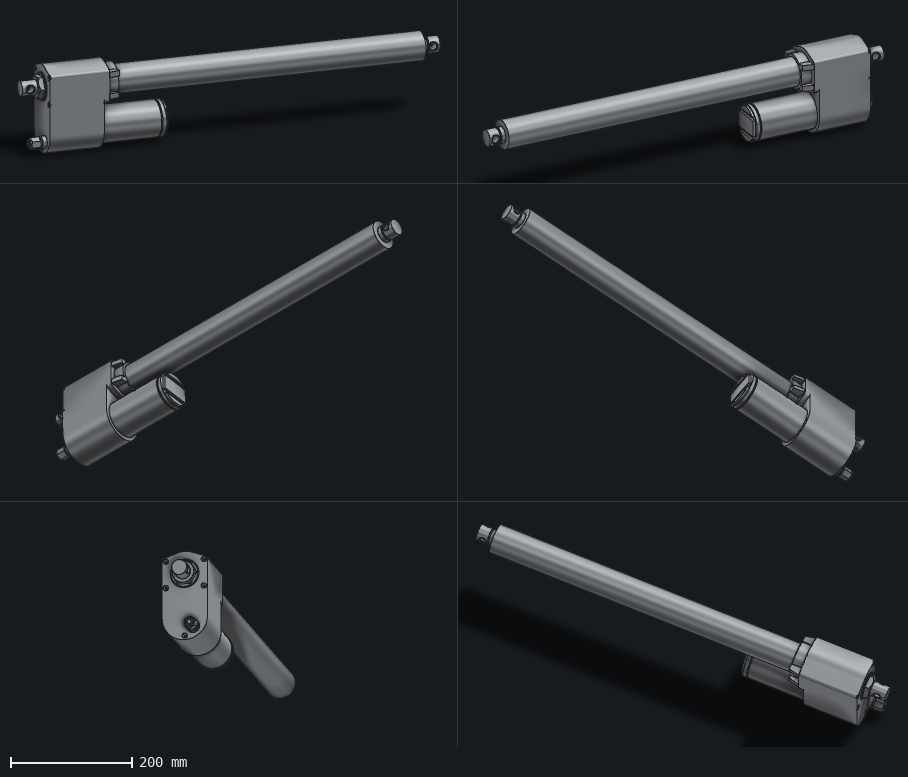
import cadquery as cq
import math


TOTAL_LENGTH = 733.5
REAR_PIN_LENGTH = 39.0
ROD_TIP_Y = TOTAL_LENGTH - REAR_PIN_LENGTH

HOUSING_WIDTH = 77.0
HALF_WIDTH = HOUSING_WIDTH / 2
HOUSING_HEIGHT = 152.0
TOP_RADIUS = 38.0
CROWN_HALF_WIDTH = 12.5
SHOULDER_RADIUS = 6.0
MOTOR_Z = TOP_RADIUS + HALF_WIDTH - HOUSING_HEIGHT
HOUSING_DEPTH = 95.0
HEAD_DEPTH = 105.0

SCREW_X = 32.0
SCREW_Z = 23.0
LOW_SCREW_Z = -106.0
SCREW_DIAMETER = 9.0
SCREW_RECESS = 2.0
SOCKET_DIAMETER = 3.0
SOCKET_DEPTH = 3.0

COLLAR_DIAMETER = 60.0
COLLAR_FRONT_Y = 124.0
GUSSET_INNER_Z = 14.0
GUSSET_OUTER_Z = 23.5
GUSSET_INNER_X = 22.0
GUSSET_FRONT_HALF_WIDTH = 32.0
GUSSET_REAR_HALF_WIDTH = 37.0
TUBE_DIAMETER = 50.5
TUBE_END_Y = 665.0

MOTOR_DIAMETER = 64.0
MOTOR_END_Y = 212.0
MOTOR_BOSS_DIAMETER = 60.0
MOTOR_BOSS_LENGTH = 4.5
MOTOR_BOSS_WIDTH = 50.5
MOTOR_GROOVE_DEPTH = 1.0
MOTOR_GROOVE_WIDTH = 2.0
MOTOR_GROOVE_FROM_END = 11.0
MOTOR_SLOT_OFFSET = 17.5
MOTOR_SLOT_WIDTH = 6.5

FLANGE_DIAMETER = 48.5
FLANGE_THICKNESS = 2.0
FLANGE_CHAMFER = 1.5
NUT_ACROSS_FLATS = 37.0
NUT_REAR_Y = -12.0
NUT_CHAMFER = 3.0
PIN_DIAMETER = 26.0
CROSS_HOLE_DIAMETER = 13.0
CROSS_HOLE_MOUTH_DIAMETER = 15.5
CROSS_HOLE_MOUTH_DEPTH = 4.0
PIN_HOLE_FROM_END = 15.0

CONNECTOR_X = 15.0
CONNECTOR_Z = -92.0
CONNECTOR_DIAMETER = 21.0
CONNECTOR_LENGTH = 28.5
CONNECTOR_CHAMFER = 4.0
CONNECTOR_NECK_DIAMETER = 15.5
CONNECTOR_BASE_LENGTH = 7.0
CONNECTOR_CAP_START = 10.0
CONNECTOR_SOCKET_DIAMETER = 13.0
CONNECTOR_SOCKET_DEPTH = 7.0
CONNECTOR_POST_DIAMETER = 7.0

ROD_DIAMETER = 28.0
ROD_EYE_DIAMETER = 28.5
ROD_EYE_LENGTH = 20.0
ROD_GROOVE_DIAMETER = 26.5
ROD_GROOVE_WIDTH = 2.0
ROD_HOLE_FROM_END = 12.0


def section(y):
    """Workplane at the given Y: local x is X, local y is Z, extrusion runs toward -Y."""
    return cq.Workplane("XZ", origin=(0, y, 0))


def cylinder(diameter, rear_y, front_y, x=0, z=0):
    return section(front_y).center(x, z).circle(diameter / 2).extrude(front_y - rear_y)


def cross_hole(y, bar_diameter):
    """Cutter along X through a round bar on the drive axis, a little wider at both mouths."""
    center = cq.Workplane("YZ").center(y, 0)
    hole = center.circle(CROSS_HOLE_DIAMETER / 2).extrude(HALF_WIDTH, both=True)
    mouths = center.circle(CROSS_HOLE_MOUTH_DIAMETER / 2).extrude(HALF_WIDTH, both=True)
    floor_x = bar_diameter / 2 - CROSS_HOLE_MOUTH_DEPTH
    core = center.circle(CROSS_HOLE_MOUTH_DIAMETER).extrude(floor_x, both=True)
    return hole.union(mouths.cut(core))


def crown_half(depth):
    """Block above the drive axis: straight sides, rounded shoulders, flat slopes and a crown."""
    slope = math.asin(CROWN_HALF_WIDTH / TOP_RADIUS)
    crown_z = TOP_RADIUS * math.cos(slope)
    shoulder_z = crown_z - (HALF_WIDTH - CROWN_HALF_WIDTH) * math.tan(slope)
    block = (
        section(depth)
        .moveTo(HALF_WIDTH, 0)
        .lineTo(HALF_WIDTH, shoulder_z)
        .lineTo(CROWN_HALF_WIDTH, crown_z)
        .threePointArc((0, TOP_RADIUS), (-CROWN_HALF_WIDTH, crown_z))
        .lineTo(-HALF_WIDTH, shoulder_z)
        .lineTo(-HALF_WIDTH, 0)
        .close()
        .extrude(depth)
    )
    return block.edges("|Y and (>X or <X) and (not <Z)").fillet(SHOULDER_RADIUS)


def lower_block(depth):
    """Block below the drive axis with a half-round bottom centred on the motor axis."""
    return (
        section(depth)
        .moveTo(HALF_WIDTH, 0)
        .lineTo(HALF_WIDTH, MOTOR_Z)
        .threePointArc((0, MOTOR_Z - HALF_WIDTH), (-HALF_WIDTH, MOTOR_Z))
        .lineTo(-HALF_WIDTH, 0)
        .close()
        .extrude(depth)
    )


def make_housing():
    """Gear housing; its deeper head is the same crowned shape above and below the drive axis."""
    head_top = crown_half(HEAD_DEPTH)
    head_bottom = head_top.mirror("XY")
    housing = lower_block(HOUSING_DEPTH).union(head_top).union(head_bottom)
    recess_places = [(sx * SCREW_X, sz * SCREW_Z) for sx in (-1, 1) for sz in (-1, 1)]
    recess_places.append((0, LOW_SCREW_Z))
    for x, z in recess_places:
        recess = cylinder(SCREW_DIAMETER, 0, SCREW_RECESS, x, z)
        socket = cylinder(SOCKET_DIAMETER, 0, SCREW_RECESS + SOCKET_DEPTH, x, z)
        housing = housing.cut(recess).cut(socket)
    return housing


def make_collar():
    """Round collar with four tapering corner gussets, two above and two below the side gaps."""
    ring = cylinder(COLLAR_DIAMETER, HEAD_DEPTH, COLLAR_FRONT_Y)
    gussets = (
        cq.Workplane("XY")
        .polyline([
            (-GUSSET_REAR_HALF_WIDTH, HEAD_DEPTH),
            (GUSSET_REAR_HALF_WIDTH, HEAD_DEPTH),
            (GUSSET_FRONT_HALF_WIDTH, COLLAR_FRONT_Y),
            (-GUSSET_FRONT_HALF_WIDTH, COLLAR_FRONT_Y),
        ])
        .close()
        .extrude(GUSSET_OUTER_Z, both=True)
    )
    side_gap = cq.Workplane("XY").box(2 * HOUSING_WIDTH, 2 * COLLAR_FRONT_Y, 2 * GUSSET_INNER_Z)
    middle_gap = cq.Workplane("XY").box(2 * GUSSET_INNER_X, 2 * COLLAR_FRONT_Y, HOUSING_WIDTH)
    return ring.union(gussets.cut(side_gap).cut(middle_gap))


def make_motor():
    """Motor can with a shallow groove and, on its end, a trimmed boss crossed by two slots."""
    can_end_y = MOTOR_END_Y - MOTOR_BOSS_LENGTH
    can = cylinder(MOTOR_DIAMETER, HOUSING_DEPTH, can_end_y, z=MOTOR_Z)
    boss = cylinder(MOTOR_BOSS_DIAMETER, can_end_y, MOTOR_END_Y, z=MOTOR_Z)
    boss_trim = (
        section(MOTOR_END_Y)
        .center(0, MOTOR_Z)
        .rect(MOTOR_BOSS_WIDTH, MOTOR_DIAMETER)
        .extrude(MOTOR_BOSS_LENGTH)
    )
    motor = can.union(boss.intersect(boss_trim))
    groove_front_y = MOTOR_END_Y - MOTOR_GROOVE_FROM_END
    groove = (
        section(groove_front_y)
        .center(0, MOTOR_Z)
        .circle(MOTOR_DIAMETER)
        .circle(MOTOR_DIAMETER / 2 - MOTOR_GROOVE_DEPTH)
        .extrude(MOTOR_GROOVE_WIDTH)
    )
    motor = motor.cut(groove)
    for side in (-1, 1):
        slot = (
            section(MOTOR_END_Y)
            .center(0, MOTOR_Z + side * MOTOR_SLOT_OFFSET)
            .rect(MOTOR_DIAMETER, MOTOR_SLOT_WIDTH)
            .extrude(MOTOR_BOSS_LENGTH)
        )
        motor = motor.cut(slot)
    return motor


def make_rear_mount():
    flange = cylinder(FLANGE_DIAMETER, -FLANGE_THICKNESS, 0).faces("<Y").chamfer(FLANGE_CHAMFER)
    nut_across_corners = NUT_ACROSS_FLATS / math.cos(math.pi / 6)
    nut = section(0).polygon(6, nut_across_corners).extrude(-NUT_REAR_Y)
    nut_round = cylinder(nut_across_corners, NUT_REAR_Y, 0).faces("<Y").chamfer(NUT_CHAMFER)
    nut = nut.intersect(nut_round)
    pin = cylinder(PIN_DIAMETER, -REAR_PIN_LENGTH, 0)
    pin = pin.cut(cross_hole(PIN_HOLE_FROM_END - REAR_PIN_LENGTH, PIN_DIAMETER))
    return flange.union(nut).union(pin)


def connector_cylinder(diameter, start, end):
    """Cylinder on the connector axis; start and end are distances behind the housing."""
    return cylinder(diameter, -end, -start, CONNECTOR_X, CONNECTOR_Z)


def make_connector():
    """Round base, neck and hexagonal cap with an open socket around a centre post."""
    base = connector_cylinder(CONNECTOR_DIAMETER, 0, CONNECTOR_BASE_LENGTH)
    neck = connector_cylinder(CONNECTOR_NECK_DIAMETER, 0, CONNECTOR_LENGTH)
    hexagon = (
        cq.Workplane("XZ", origin=(CONNECTOR_X, -CONNECTOR_CAP_START, CONNECTOR_Z))
        .transformed(rotate=(0, 0, 30))
        .polygon(6, CONNECTOR_DIAMETER)
        .extrude(CONNECTOR_LENGTH - CONNECTOR_CAP_START)
    )
    cap_round = connector_cylinder(CONNECTOR_DIAMETER, CONNECTOR_CAP_START, CONNECTOR_LENGTH)
    cap = hexagon.intersect(cap_round.faces("<Y").chamfer(CONNECTOR_CHAMFER))
    socket_floor = CONNECTOR_LENGTH - CONNECTOR_SOCKET_DEPTH
    socket = connector_cylinder(CONNECTOR_SOCKET_DIAMETER, socket_floor, CONNECTOR_LENGTH)
    post = connector_cylinder(CONNECTOR_POST_DIAMETER, socket_floor, CONNECTOR_LENGTH)
    return base.union(neck).union(cap).cut(socket.cut(post))


def make_actuator():
    actuator = make_housing()
    tube = cylinder(TUBE_DIAMETER, HEAD_DEPTH, TUBE_END_Y)
    for portion in (make_collar(), tube, make_motor(), make_rear_mount(), make_connector()):
        actuator = actuator.union(portion)
    rod_bore = cylinder(ROD_DIAMETER, HEAD_DEPTH, TUBE_END_Y)
    return actuator.cut(rod_bore)


def make_rod():
    """Rod filling the tube bore, with a shallow groove behind a slightly thicker eye."""
    eye_start_y = ROD_TIP_Y - ROD_EYE_LENGTH
    shank = cylinder(ROD_DIAMETER, HEAD_DEPTH, eye_start_y - ROD_GROOVE_WIDTH)
    groove_core = cylinder(ROD_GROOVE_DIAMETER, eye_start_y - ROD_GROOVE_WIDTH, eye_start_y)
    eye = cylinder(ROD_EYE_DIAMETER, eye_start_y, ROD_TIP_Y)
    eye = eye.cut(cross_hole(ROD_TIP_Y - ROD_HOLE_FROM_END, ROD_EYE_DIAMETER))
    return shank.union(groove_core).union(eye)


actuator = make_actuator()
rod = make_rod()

result = cq.Compound.makeCompound([actuator.solids().val(), rod.solids().val()])